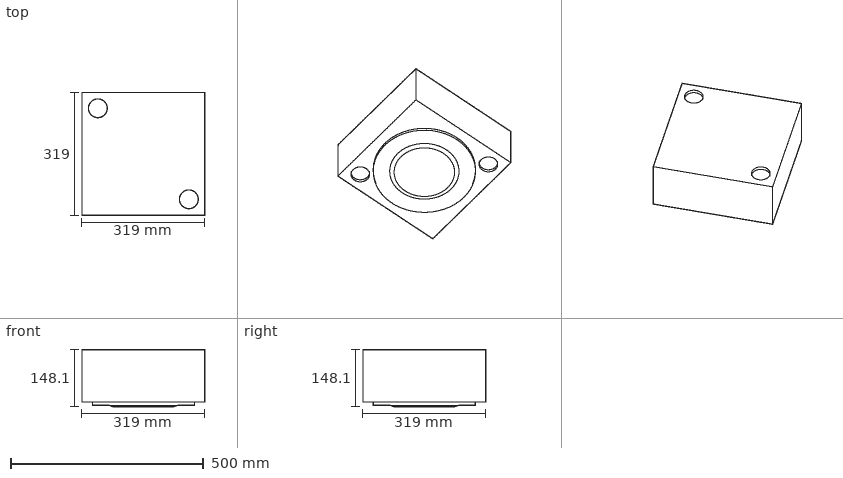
import cadquery as cq

side = 319.0
box_height = 136.0
wall = 9.0

port_diameter = 48.2
port_offset = 118.0

flange_diameter = 265.5
flange_thickness = 8.3
cone_top_diameter = 180.0
cone_bottom_diameter = 157.0
cone_height = 3.8

flange_bottom = -flange_thickness
cone_bottom = flange_bottom - cone_height


def make_enclosure():
    """Closed hollow box with ports through its top and bottom walls."""
    shell = cq.Workplane("XY").box(side, side, box_height, centered=(True, True, False))
    inner_side = side - 2 * wall
    inner_height = box_height - 2 * wall
    cavity = (
        cq.Workplane("XY", origin=(0, 0, wall))
        .box(inner_side, inner_side, inner_height, centered=(True, True, False))
    )
    ports = (
        cq.Workplane("XY")
        .pushPoints([(-port_offset, port_offset), (port_offset, -port_offset)])
        .circle(port_diameter / 2)
        .extrude(box_height)
    )
    return shell.cut(cavity).cut(ports)


def make_flange():
    """Flat round disc against the underside of the enclosure."""
    return (
        cq.Workplane("XY", origin=(0, 0, flange_bottom))
        .circle(flange_diameter / 2)
        .extrude(flange_thickness)
    )


def make_cone():
    """Shallow cone under the flange, narrowing to a flat bottom."""
    return (
        cq.Workplane("XY", origin=(0, 0, cone_bottom))
        .circle(cone_bottom_diameter / 2)
        .workplane(offset=cone_height)
        .circle(cone_top_diameter / 2)
        .loft(ruled=True)
    )


enclosure = make_enclosure()
flange = make_flange()
cone = make_cone()

result = cq.Compound.makeCompound([enclosure.val(), flange.val(), cone.val()])